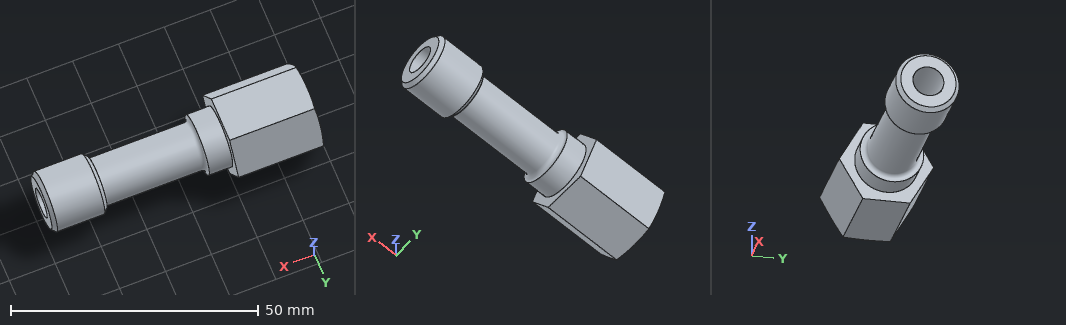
import cadquery as cq
import math

total_length = 58.0
hex_length = 18.9
collar_end = 24.0
head_start = 46.8
tip_chamfer = 0.85

hex_across_flats = 17.0
hex_across_corners = hex_across_flats / math.cos(math.radians(30))
hex_face_diameter = 16.8
hex_chamfer_depth = 0.35

collar_radius = 13.15 / 2
shank_radius = 10.4 / 2
collar_fillet = 1.0
head_fillet = 0.5

bore_radius = 11.4 / 2
bore_mouth_radius = 13.1 / 2
bore_depth = 15.0
through_radius = 6.4 / 2
drill_point_half_angle = math.radians(59)


def revolve_about_x(profile):
    return profile.close().revolve(360, (0, 0, 0), (1, 0, 0))


def make_hexagon():
    """Hexagonal end with its outer corners turned to a shallow cone."""
    prism = cq.Workplane("YZ").polygon(6, hex_across_corners).extrude(hex_length)
    corner_radius = hex_across_corners / 2
    envelope = revolve_about_x(
        cq.Workplane("XY")
        .lineTo(0, hex_face_diameter / 2)
        .lineTo(hex_chamfer_depth, corner_radius)
        .lineTo(hex_length, corner_radius)
        .lineTo(hex_length, 0)
    )
    return prism.intersect(envelope)


def make_stem():
    """Collar, slim shank and chamfered head, with a fillet at each shank end."""
    arc_inset = 1 - math.cos(math.radians(45))
    collar_arc_end = collar_end + collar_fillet
    collar_arc_middle = (
        collar_end + collar_fillet * arc_inset,
        shank_radius + collar_fillet * arc_inset,
    )

    cone_foot_radius = shank_radius + head_fillet
    cone_foot = head_start - (collar_radius - cone_foot_radius)
    head_arc_start = cone_foot - head_fillet
    head_arc_middle = (
        cone_foot - head_fillet * arc_inset,
        shank_radius + head_fillet * arc_inset,
    )

    return revolve_about_x(
        cq.Workplane("XY")
        .moveTo(hex_length, 0)
        .lineTo(hex_length, collar_radius)
        .lineTo(collar_end, collar_radius)
        .lineTo(collar_end, shank_radius + collar_fillet)
        .threePointArc(collar_arc_middle, (collar_arc_end, shank_radius))
        .lineTo(head_arc_start, shank_radius)
        .threePointArc(head_arc_middle, (cone_foot, cone_foot_radius))
        .lineTo(head_start, collar_radius)
        .lineTo(total_length - tip_chamfer, collar_radius)
        .lineTo(total_length, collar_radius - tip_chamfer)
        .lineTo(total_length, 0)
    )


def make_bore():
    """Countersunk bore with a conical bottom, continued by a through hole."""
    mouth_depth = bore_mouth_radius - bore_radius
    drill_point_length = (bore_radius - through_radius) / math.tan(drill_point_half_angle)
    return revolve_about_x(
        cq.Workplane("XY")
        .lineTo(0, bore_mouth_radius)
        .lineTo(mouth_depth, bore_radius)
        .lineTo(bore_depth, bore_radius)
        .lineTo(bore_depth + drill_point_length, through_radius)
        .lineTo(total_length, through_radius)
        .lineTo(total_length, 0)
    )


result = make_hexagon().union(make_stem()).cut(make_bore())